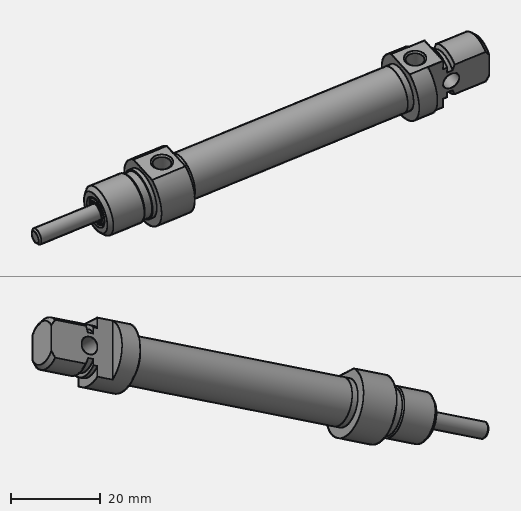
import cadquery as cq
import math

TOTAL_LENGTH = 116

FLANGE_DIAMETER = 16.0
BARREL_DIAMETER = 11.3
SPIGOT_DIAMETER = 12.0
END_DIAMETER = 10.0
END_CHAMFER = (SPIGOT_DIAMETER - END_DIAMETER) / 2

FLANGE_LENGTH = 8.7
FLANGE_TOP = 7.0
COLLAR_LENGTH = 1.5

FRONT_FACE = 15.8
NECK_START = 24.8
NECK_FLARE = 0.3
NECK_END = 27.0
FRONT_FLANGE_START = 28.1
FRONT_FLANGE_END = FRONT_FLANGE_START + FLANGE_LENGTH

SEAL_GROOVE_OUTER = 7.4
SEAL_GROOVE_ROOT_OUTER = 6.7
SEAL_GROOVE_ROOT_INNER = 6.3
SEAL_GROOVE_INNER = 5.6
SEAL_GROOVE_DEPTH = 0.3

ROD_DIAMETER = 4.0
ROD_TIP_DIAMETER = 3.0
ROD_TIP_CHAMFER = (ROD_DIAMETER - ROD_TIP_DIAMETER) / 2
ROD_BORE_MOUTH = 4.8
ROD_BORE_CHAMFER = (ROD_BORE_MOUTH - ROD_DIAMETER) / 2

REAR_FLANGE_END = 103.9
REAR_FLANGE_START = REAR_FLANGE_END - FLANGE_LENGTH
TAIL_WIDTH = 8.0
TAIL_FLATS_START = 100.0
TAIL_GROOVE_DIAMETER = END_DIAMETER
TAIL_GROOVE_START = 105.0
TAIL_GROOVE_END = 106.4
TAIL_GROOVE_FLARE = 0.6
PIN_HOLE_DIAMETER = 4.2
PIN_HOLE_Y = TOTAL_LENGTH - 10.0

BARREL_START = FRONT_FLANGE_END + COLLAR_LENGTH
BARREL_END = REAR_FLANGE_START - COLLAR_LENGTH

PORT_DIAMETER = 4.2
PORT_MOUTH_DIAMETER = 5.0
PORT_CHAMFER = (PORT_MOUTH_DIAMETER - PORT_DIAMETER) / 2
FRONT_PORT_Y = 33.1
FRONT_PORT_DEPTH = FLANGE_TOP
REAR_PORT_Y = 99.1
REAR_PORT_DEPTH = 4.6
DRILL_TIP_ANGLE = 120
DRILL_TIP_HEIGHT = PORT_DIAMETER / 2 / math.tan(math.radians(DRILL_TIP_ANGLE / 2))


def turned(profile):
    """Revolve (diameter, y) corners about the Y axis, closing the outline along the axis."""
    first_y = profile[0][1]
    last_y = profile[-1][1]
    corners = [(0, first_y)] + [(diameter / 2, y) for diameter, y in profile] + [(0, last_y)]
    return cq.Workplane("XY").polyline(corners).close().revolve(360, (0, 0), (0, 1))


def cut_flange_flat(cap, flange_start):
    """Cut the flat on top of a flange."""
    above_flat = cq.Workplane("XY").box(
        FLANGE_DIAMETER, FLANGE_LENGTH, FLANGE_DIAMETER, centered=(True, False, False)
    )
    return cap.cut(above_flat.translate((0, flange_start, FLANGE_TOP)))


def port_cutter(y, depth, tip_height):
    """Vertical drilled port with a chamfered mouth; tip_height is that of its conical bottom."""
    floor = FLANGE_TOP - depth
    outline = [
        (0, FLANGE_TOP),
        (PORT_MOUTH_DIAMETER / 2, FLANGE_TOP),
        (PORT_DIAMETER / 2, FLANGE_TOP - PORT_CHAMFER),
        (PORT_DIAMETER / 2, floor),
        (0, floor - tip_height),
    ]
    cutter = cq.Workplane("XZ").polyline(outline).close().revolve(360, (0, 0), (0, 1))
    return cutter.translate((0, y, 0))


def seal_groove_cutter():
    """Ring groove with sloping walls in the front face, around the rod."""
    root = FRONT_FACE + SEAL_GROOVE_DEPTH
    corners = [
        (SEAL_GROOVE_OUTER / 2, FRONT_FACE),
        (SEAL_GROOVE_ROOT_OUTER / 2, root),
        (SEAL_GROOVE_ROOT_INNER / 2, root),
        (SEAL_GROOVE_INNER / 2, FRONT_FACE),
    ]
    return cq.Workplane("XY").polyline(corners).close().revolve(360, (0, 0), (0, 1))


def rod_bore_cutter():
    """Bore that holds the rod, chamfered at the front face."""
    return turned([
        (ROD_BORE_MOUTH, FRONT_FACE),
        (ROD_DIAMETER, FRONT_FACE + ROD_BORE_CHAMFER),
        (ROD_DIAMETER, BARREL_START),
    ])


def cut_tail_flats(cap):
    """Cut the two side flats that make the tail a clevis tongue."""
    flat_length = TOTAL_LENGTH - TAIL_FLATS_START
    slab = cq.Workplane("XY").box(TAIL_WIDTH, flat_length, FLANGE_DIAMETER, centered=(True, False, True))
    for side in (-1, 1):
        cap = cap.cut(slab.translate((side * TAIL_WIDTH, TAIL_FLATS_START, 0)))
    return cap


def pin_hole_cutter():
    """Cross hole for the mounting pin, through both tail flats."""
    hole = cq.Workplane("YZ").circle(PIN_HOLE_DIAMETER / 2).extrude(FLANGE_DIAMETER / 2, both=True)
    return hole.translate((0, PIN_HOLE_Y, 0))


def make_rod():
    return turned([
        (ROD_TIP_DIAMETER, 0),
        (ROD_DIAMETER, ROD_TIP_CHAMFER),
        (ROD_DIAMETER, BARREL_START),
    ])


def make_front_cap():
    cap = turned([
        (END_DIAMETER, FRONT_FACE),
        (SPIGOT_DIAMETER, FRONT_FACE + END_CHAMFER),
        (SPIGOT_DIAMETER, NECK_START),
        (BARREL_DIAMETER, NECK_START + NECK_FLARE),
        (BARREL_DIAMETER, NECK_END),
        (SPIGOT_DIAMETER, NECK_END),
        (SPIGOT_DIAMETER, FRONT_FLANGE_START),
        (FLANGE_DIAMETER, FRONT_FLANGE_START),
        (FLANGE_DIAMETER, FRONT_FLANGE_END),
        (BARREL_DIAMETER, FRONT_FLANGE_END),
        (BARREL_DIAMETER, BARREL_START),
    ])
    cap = cut_flange_flat(cap, FRONT_FLANGE_START)
    cap = cap.cut(port_cutter(FRONT_PORT_Y, FRONT_PORT_DEPTH, 0))
    cap = cap.cut(seal_groove_cutter())
    return cap.cut(rod_bore_cutter())


def make_barrel():
    return turned([(BARREL_DIAMETER, BARREL_START), (BARREL_DIAMETER, BARREL_END)])


def make_rear_cap():
    cap = turned([
        (BARREL_DIAMETER, BARREL_END),
        (BARREL_DIAMETER, REAR_FLANGE_START),
        (FLANGE_DIAMETER, REAR_FLANGE_START),
        (FLANGE_DIAMETER, REAR_FLANGE_END),
        (SPIGOT_DIAMETER, REAR_FLANGE_END),
        (SPIGOT_DIAMETER, TAIL_GROOVE_START),
        (TAIL_GROOVE_DIAMETER, TAIL_GROOVE_START),
        (TAIL_GROOVE_DIAMETER, TAIL_GROOVE_END),
        (SPIGOT_DIAMETER, TAIL_GROOVE_END + TAIL_GROOVE_FLARE),
        (SPIGOT_DIAMETER, TOTAL_LENGTH - END_CHAMFER),
        (END_DIAMETER, TOTAL_LENGTH),
    ])
    cap = cut_flange_flat(cap, REAR_FLANGE_START)
    cap = cut_tail_flats(cap)
    cap = cap.cut(pin_hole_cutter())
    return cap.cut(port_cutter(REAR_PORT_Y, REAR_PORT_DEPTH, DRILL_TIP_HEIGHT))


rod = make_rod()
front_cap = make_front_cap()
barrel = make_barrel()
rear_cap = make_rear_cap()

result = cq.Compound.makeCompound([rod.val(), front_cap.val(), barrel.val(), rear_cap.val()])